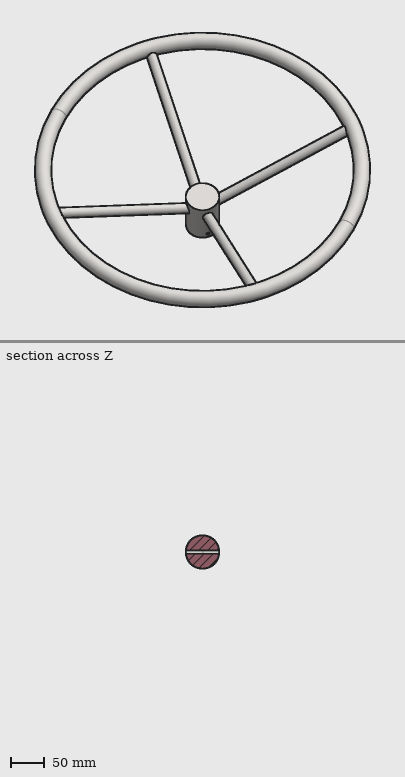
import cadquery as cq
import math

wheel_diameter = 500.0
wheel_height = 150.0

rim_bar_diameter = 25.0
rim_center_radius = (wheel_diameter - rim_bar_diameter) / 2
rim_center_height = wheel_height - rim_bar_diameter / 2

hub_diameter = 50.0
hub_height = 70.0
pin_hole_diameter = 5.0
pin_hole_height = 8.0

spoke_count = 4
spoke_diameter = 16.0
spoke_axis_height = 42.0
spoke_root_radius = 15.0
spoke_slope = (rim_center_height - spoke_axis_height) / rim_center_radius
spoke_run = rim_center_radius - spoke_root_radius
spoke_length = math.hypot(spoke_run, spoke_run * spoke_slope)


def make_rim():
    """Ring made of two half rings that meet midway between spokes."""
    half_ring = (
        cq.Workplane("XZ")
        .center(rim_center_radius, rim_center_height)
        .circle(rim_bar_diameter / 2)
        .revolve(180, (-rim_center_radius, 0), (-rim_center_radius, 1))
        .rotate((0, 0, 0), (0, 0, 1), 180 / spoke_count)
    )
    other_half_ring = half_ring.rotate((0, 0, 0), (0, 0, 1), 180)
    return half_ring.union(other_half_ring, clean=False)


def make_hub():
    return cq.Workplane("XY").circle(hub_diameter / 2).extrude(hub_height)


def make_spoke(angle):
    """Spoke that leaves the hub toward the given angle about Z."""
    root_height = spoke_axis_height + spoke_root_radius * spoke_slope
    root = cq.Vector(spoke_root_radius, 0, root_height)
    direction = cq.Vector(1, 0, spoke_slope)
    bar = cq.Solid.makeCylinder(spoke_diameter / 2, spoke_length, root, direction)
    return cq.Workplane(obj=bar).rotate((0, 0, 0), (0, 0, 1), angle)


def make_pin_hole():
    """Cross hole running along X through the whole hub."""
    return (
        cq.Workplane("YZ")
        .center(0, pin_hole_height)
        .circle(pin_hole_diameter / 2)
        .extrude(hub_diameter / 2, both=True)
    )


result = make_hub()
for spoke_index in range(spoke_count):
    result = result.union(make_spoke(spoke_index * 360 / spoke_count), clean=False)
result = result.union(make_rim(), clean=False)
result = result.cut(make_pin_hole(), clean=False)